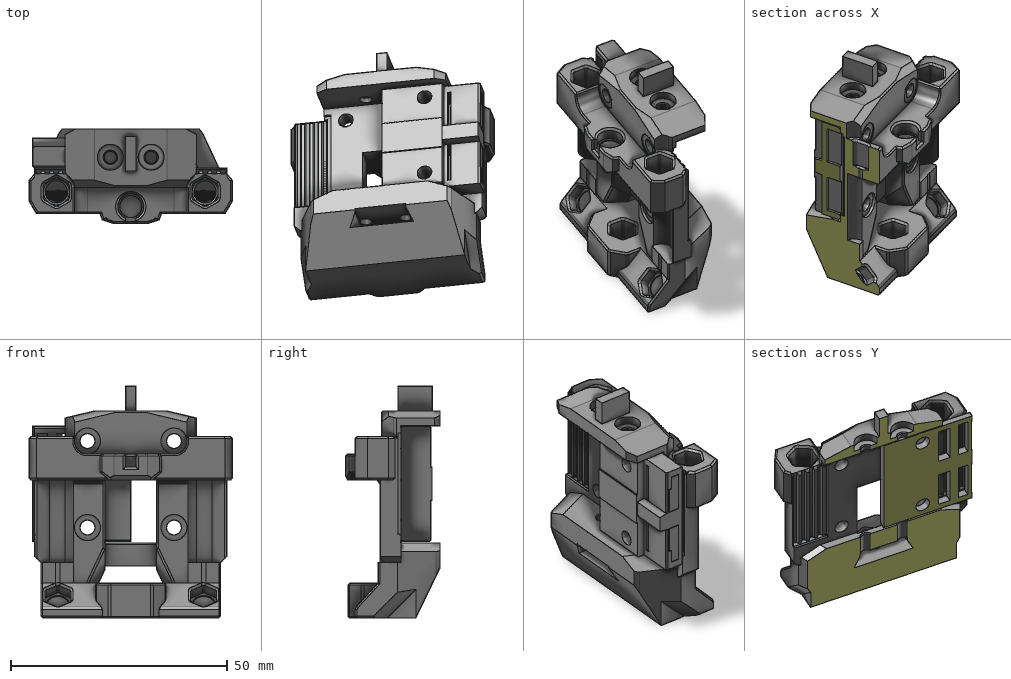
import cadquery as cq
import math

BIG = 200.0

SCREW_PITCH = 20.0
SCREW_LOW_Z = 20.95
SCREW_HOLE = 3.4
SCREW_HEAD = 6.0
SCREW_SEAT_Y = -4.2

BAR_BOTTOM, BAR_TOP = 31.9, 42.0
BAR_FRONT = -10.55
BAR_HALF = 46.97 / 2
BAR_EDGE = 0.45
BAR_REAR = -1.3
NOSE_FRONT = -12.82
NOSE_HALF = 7.1
NOSE_CHIN_Z, NOSE_CHEEK_Z = 33.0, 33.8
TROUGH_RADIUS = SCREW_HEAD / 2 + 0.05
TROUGH_HALF = SCREW_PITCH / 2 + TROUGH_RADIUS
TROUGH_FLOOR = SCREW_LOW_Z + SCREW_PITCH - TROUGH_RADIUS
TROUGH_EDGE = 0.35

NUT_FLATS = 6.0
NUT_EDGE = 0.5
NUT_CORNER = 0.7
ROD_HOLE = 5.1
ROD_EDGE = 0.45
ROD_X, ROD_Y = 17.2, -5.5
BAR_NUT_DEPTH = 7.0
FOOT_NUT_X, FOOT_NUT_Z = 16.85, 5.4
FOOT_NUT_DEPTH = 3.0
BOSS_NUT_DEPTH = 6.0
SEAT_STEP = 0.3

MAGNET_Y = -8.9
MAGNET_DIAMETER = 6.0
MAGNET_FLOOR = 34.9
MAGNET_EDGE = 0.5
MAGNET_SLOT = 2.5

PLATE_FRONT = -4.47
PLATE_FRONT_HALF = 12.95
ROOF_Z = 47.9
ROOF_UNDERSIDE = 44.45
ROOF_HALF = 15.2
ROOF_FLAT_HALF = 8.4
ROOF_SLOPE = 0.24
ROOF_EDGE = 0.4
ROOF_BEVEL_Y = -2.8
REAR_Y = 9.08
TAB_TOP = 53.62
TAB_WIDTH = 2.4
TAB_FRONT, TAB_REAR = -0.7, 7.28
ROOF_SCREW_X, ROOF_SCREW_Y = 4.72, 2.5
ROOF_SCREW_HEAD_DEPTH = 2.0
TAPPED_HOLE, TAPPED_EDGE = 2.8, 0.25

COLUMN_FRONT = -4.86
COLUMN_HALF = 13.2
GUSSET_HEIGHT, GUSSET_REACH = 0.9, 0.6
WING_HALF = 22.2
WING_FRONT = -4.7
WING_BOTTOM = 12.9
WING_CORNER = 1.4
SIDE_FLOOR_Y = -1.65
WINDOW_HALF = 6.0
WINDOW_EDGE = 0.4
FLARE_TOP = 16.3
FOOT_HALF = 20.75
FOOT_CORE_HALF = 18.75
FOOT_FRONT = -5.25
FOOT_TOE = -10.55
TOE_Z = 2.4
HEEL_BEVEL_Y = -6.75
TOE_EDGE = 0.35
FOOT_EDGE = 0.4
FOOT_SOLE_EDGE = 0.5
BOSS_TOP = 8.1
BOSS_FRONT = -12.2
BOSS_EDGE = 0.4
LEDGE_Z = 17.4
LEDGE_UNDERSIDE = 12.0
FOOT_GROOVE_WIDTH, FOOT_GROOVE_DEPTH = 1.1, 0.1

BELT_BOTTOM, BELT_TOP = 19.4, 42.8
BELT_INNER_X = 13.5
BELT_THICKNESS = 0.7
TOOTH_DEPTH = 0.65
BELT_LEAD = 0.3
TOOTH_ROOT, TOOTH_TIP = 1.35, 0.75
BELT_PITCH = 2.04
TOOTH_FIRST_X = 15.2
TOOTH_COUNT = 4

CARRIAGE_BOTTOM, CARRIAGE_TOP = 17.75, 44.4
CARRIAGE_MID_Z = (CARRIAGE_BOTTOM + CARRIAGE_TOP) / 2
CARRIAGE_LENGTH = 22.7
CARRIAGE_REAR = 6.92
BLOCK_EDGE = 0.3
CAP_INNER_X = -14.2
CAP_REAR = 5.0
CAP_REAR_EDGE, CAP_FRONT_EDGE = 0.4, 0.5
TONGUE_ROOT, TONGUE_CREST = 4.9, 3.7
RETAINER_HEIGHT, RETAINER_REAR = 7.7, 7.25
BALL_POCKET_HEIGHT = 9.35
BALL_POCKET_OFFSET = 6.95
BALL_POCKET_DEPTH = 3.45
OUTER_BALL_POCKET = (-21.6, -19.3)
INNER_BALL_POCKET_X = -17.0
CAP_SLIT_X, CAP_SLIT_END = -15.85, -15.0
PANEL_FRONT, PANEL_REAR, PANEL_DEPTH = 1.44, 3.45, 0.1
PANEL_TAB_REAR, PANEL_TAB_HEIGHT = 4.15, 6.2


def box(x0, x1, y0, y1, z0, z1):
    return cq.Workplane("XY").box(x1 - x0, y1 - y0, z1 - z0, centered=False).translate((x0, y0, z0))


def prism(points, z0, z1):
    return cq.Workplane("XY").workplane(offset=z0).polyline(points).close().extrude(z1 - z0)


def mirrored(points):
    """Close a right-hand outline (read from rear to front) with its mirror image."""
    return points + [(-x, y) for x, y in reversed(points)]


def half_space(point, normal):
    """A large block that fills the side of a plane the normal points to."""
    return cq.Workplane(cq.Plane(origin=point, normal=normal)).rect(BIG, BIG).extrude(BIG)


def both_sides(shape):
    return shape.union(shape.mirror("YZ"))


def nut_pocket(center, axis, point_dir, depth, edge):
    """Round-cornered hexagonal pocket sunk against the axis, one corner along point_dir, mouth bevelled."""
    plane = cq.Plane(origin=center, xDir=point_dir, normal=axis)

    def hexagon(grow):
        corner_reach = (NUT_FLATS / 2 + grow) / math.cos(math.pi / 6)
        outline = cq.Workplane(plane).sketch().regularPolygon(corner_reach, 6, angle=90)
        return outline.vertices().fillet(NUT_CORNER + grow).finalize()

    return hexagon(0).extrude(-depth).union(hexagon(edge).extrude(-edge, taper=45))


def cylinder(center, axis, diameter, length):
    return cq.Workplane(cq.Plane(origin=center, normal=axis)).circle(diameter / 2).extrude(length)


def tapped_hole(x, y, top, bottom):
    hole = cylinder((x, y, bottom), (0, 0, 1), TAPPED_HOLE, top - bottom)
    mouth = cq.Workplane("XY", origin=(x, y, top)).circle(TAPPED_HOLE / 2 + TAPPED_EDGE)
    return hole.union(mouth.extrude(-TAPPED_EDGE, taper=45))


def screw_positions():
    return [(side * SCREW_PITCH / 2, SCREW_LOW_Z + row * SCREW_PITCH) for side in (-1, 1) for row in (0, 1)]


def make_crossbar():
    outline = mirrored([(WING_HALF, BAR_REAR), (BAR_HALF, -2.82), (BAR_HALF, -7.65), (21.8, BAR_FRONT)])
    bar = prism(outline, BAR_BOTTOM, BAR_TOP).faces("|Z").edges().chamfer(BAR_EDGE)
    backing = box(-WING_HALF, WING_HALF, BAR_REAR - 1, 0, BAR_BOTTOM, BAR_TOP)
    bar = bar.union(backing.cut(half_space((0, BAR_REAR, BAR_TOP), (0, 1, 1))))
    nose_outline = mirrored(
        [(NOSE_HALF, MAGNET_Y), (NOSE_HALF, BAR_FRONT), (6.6, -11.96), (3.9, NOSE_FRONT)])
    nose = prism(nose_outline, BAR_BOTTOM, TROUGH_FLOOR)
    rim = cq.selectors.BoxSelector((-BIG, -BIG, 0), (BIG, BAR_FRONT, BIG))
    nose = nose.faces(">Z").edges(rim).chamfer(BAR_EDGE)
    chin = half_space((0, NOSE_FRONT, NOSE_CHIN_Z), (0, -2, -1))
    cheek = half_space((NOSE_HALF, BAR_FRONT, NOSE_CHEEK_Z), (1, -0.4, -1.125))
    return bar.cut(make_trough()).union(nose.cut(chin).cut(both_sides(cheek)))


def make_trough():
    """Round-bottomed channel across the top of the crossbar, concentric with the upper screws."""
    height = BAR_TOP + 10 - TROUGH_FLOOR
    depth = PLATE_FRONT - BAR_FRONT

    def channel(grow):
        middle = cq.Workplane("XZ", origin=(0, BAR_FRONT, TROUGH_FLOOR + height / 2))
        return middle.sketch().rect(2 * (TROUGH_HALF + grow), height + 2 * grow).vertices().fillet(
            TROUGH_RADIUS + grow).finalize()

    top_bevel = (
        cq.Workplane("XZ", origin=(0, BAR_FRONT, 0))
        .polyline([(TROUGH_HALF - 1, BAR_TOP - TROUGH_EDGE), (TROUGH_HALF, BAR_TOP - TROUGH_EDGE),
                   (TROUGH_HALF + TROUGH_EDGE, BAR_TOP), (TROUGH_HALF - 1, BAR_TOP)])
        .close().extrude(-depth)
    )
    trough = channel(0).extrude(-depth).union(channel(TROUGH_EDGE).extrude(-TROUGH_EDGE, taper=45))
    return trough.union(both_sides(top_bevel))


def make_top_plate():
    """Upright plate with the overhanging roof; hollow flanks clear the rods."""
    half = (
        cq.Workplane("XY").workplane(offset=BAR_BOTTOM)
        .moveTo(0, REAR_Y).lineTo(12.7, REAR_Y).lineTo(ROOF_HALF, 7.76).lineTo(ROOF_HALF, -0.96)
        .lineTo(14.7, SIDE_FLOOR_Y).threePointArc((13.6, -2.8), (PLATE_FRONT_HALF, PLATE_FRONT))
        .lineTo(0, PLATE_FRONT).close().extrude(ROOF_Z - BAR_BOTTOM)
    )
    half = half.cut(box(-1, BIG, 0, BIG, 0, ROOF_UNDERSIDE))
    half = half.cut(half_space((ROOF_FLAT_HALF, 0, ROOF_Z), (ROOF_SLOPE, 0, 1)))
    half = half.cut(half_space((ROOF_FLAT_HALF, ROOF_BEVEL_Y, ROOF_Z), (ROOF_SLOPE, -0.894, 1)))
    half = half.cut(half_space((0, PLATE_FRONT, ROOF_Z - ROOF_EDGE), (0, -1, 1)))
    tab = box(-TAB_WIDTH / 2, TAB_WIDTH / 2, TAB_FRONT, TAB_REAR, ROOF_UNDERSIDE, TAB_TOP)
    return both_sides(half).union(tab)


def make_columns():
    """Two front columns with their outer wings, from the foot up to the crossbar."""
    half = (
        cq.Workplane("XY").workplane(offset=WING_BOTTOM)
        .moveTo(WINDOW_HALF, 0).lineTo(WING_HALF, 0).lineTo(WING_HALF, WING_FRONT).lineTo(21.7, WING_FRONT)
        .lineTo(18.8, SIDE_FLOOR_Y).lineTo(ROOF_HALF, SIDE_FLOOR_Y)
        .threePointArc((13.85, -2.8), (COLUMN_HALF, COLUMN_FRONT))
        .lineTo(WINDOW_HALF + WINDOW_EDGE, COLUMN_FRONT)
        .lineTo(WINDOW_HALF, COLUMN_FRONT + WINDOW_EDGE).close().extrude(BAR_BOTTOM + 1 - WING_BOTTOM)
    )
    half = half.cut(half_space((WING_HALF, 0, WING_BOTTOM + WING_CORNER), (1, 0, -1)))
    gusset = (
        cq.Workplane("YZ").workplane(offset=WINDOW_HALF + WINDOW_EDGE)
        .polyline([(COLUMN_FRONT, BAR_BOTTOM - GUSSET_HEIGHT), (COLUMN_FRONT - GUSSET_REACH, BAR_BOTTOM),
                   (COLUMN_FRONT, BAR_BOTTOM)])
        .close().extrude(COLUMN_HALF - WINDOW_HALF - WINDOW_EDGE)
    )
    return both_sides(half.union(gusset))


def make_foot():
    """Lower block: sloped toes in front, carriage ledge behind, tapering towards the rear."""
    profile = [
        (FOOT_FRONT, WING_BOTTOM), (FOOT_FRONT, BOSS_TOP), (FOOT_TOE + TOE_EDGE, TOE_Z + TOE_EDGE),
        (FOOT_TOE, TOE_Z - TOE_EDGE), (FOOT_TOE, 0),
        (3.45, 0), (REAR_Y, 11.7), (REAR_Y, LEDGE_Z), (0, LEDGE_Z), (0, WING_BOTTOM),
    ]
    foot = cq.Workplane("YZ").workplane(offset=-FOOT_HALF).polyline(profile).close().extrude(2 * FOOT_HALF)
    front_edges = cq.selectors.BoxSelector((-BIG, FOOT_TOE - 1, -1), (BIG, FOOT_FRONT + 0.1, WING_BOTTOM))
    foot = foot.faces("|X").edges(front_edges).chamfer(FOOT_EDGE)
    foot = foot.cut(half_space((0, FOOT_TOE, FOOT_SOLE_EDGE), (0, -1, -1)))
    foot = foot.cut(both_sides(half_space((FOOT_HALF, 0, FOOT_SOLE_EDGE), (1, 0, -1))))
    foot = foot.cut(box(-COLUMN_HALF, COLUMN_HALF, FOOT_FRONT, COLUMN_FRONT, BOSS_TOP, WING_BOTTOM))
    plan = mirrored([(15.8, REAR_Y), (16.6, 8.1), (FOOT_HALF, -0.75), (FOOT_HALF, FOOT_TOE)])
    foot = foot.intersect(prism(plan, 0, LEDGE_Z))
    ledge_slope = half_space((15.3, 0.5, LEDGE_Z), (16.2, 7.5, 39.0)).intersect(box(0, BIG, 0, BIG, 0, BIG))
    return foot.cut(both_sides(ledge_slope)).cut(make_heel_bevel())


def make_heel_bevel():
    """Bevel behind each toe, running along the toe's 45 degree slope."""
    plane = cq.Plane(origin=(0, HEEL_BEVEL_Y, 0), xDir=(1, 0, 0), normal=(0, 1, 1))
    bevel_reach = 2.55
    wedge = (
        cq.Workplane(plane)
        .polyline([(FOOT_HALF + 1, 0), (FOOT_HALF, 0), (FOOT_CORE_HALF, bevel_reach),
                   (FOOT_CORE_HALF, BIG), (FOOT_HALF + 1, BIG)])
        .close().extrude(BIG, both=True)
    )
    wedge = wedge.intersect(box(0, BIG, -20, 20, -1, WING_BOTTOM - 1))
    return both_sides(wedge)


def make_boss():
    """Chamfered block at the middle of the foot, holding the centre nut."""
    outline = mirrored([(8.15, 0), (8.15, -8.55), (7.9, -9.2), (5.3, -11.85), (4.6, BOSS_FRONT)])
    boss = prism(outline, 0, BOSS_TOP)
    rim = cq.selectors.BoxSelector((-BIG, -BIG, -1), (BIG, -1, BIG))
    return boss.faces("|Z").edges(rim).chamfer(BOSS_EDGE)


def make_window():
    """Opening between the columns and below the ledge, flared towards the boss."""
    upper = box(-WINDOW_HALF, WINDOW_HALF, -20, 0, BOSS_TOP, BAR_BOTTOM)
    lower = box(-WINDOW_HALF, WINDOW_HALF, -20, 20, BOSS_TOP, LEDGE_UNDERSIDE)
    flare = half_space((WINDOW_HALF, COLUMN_FRONT, FLARE_TOP), (-1, -0.5, -0.475))
    flare_edge = (WINDOW_HALF + WINDOW_EDGE, COLUMN_FRONT, FLARE_TOP)
    flare = flare.union(half_space(flare_edge, (-0.82, -1.41, -0.39)))
    flare = flare.intersect(box(0, 12, -20, 0, BOSS_TOP, FLARE_TOP))
    rear_flare = half_space((WINDOW_HALF, 0, 11.2), (-1, 0, -0.475))
    rear_flare = rear_flare.intersect(box(0, 12, 0, 20, BOSS_TOP, LEDGE_UNDERSIDE))
    ledge_edge = half_space((0, 0, LEDGE_Z - WINDOW_EDGE), (0, -1, 1))
    ledge_edge = ledge_edge.intersect(
        box(-WINDOW_HALF, WINDOW_HALF, 0, WINDOW_EDGE, LEDGE_Z - WINDOW_EDGE, LEDGE_Z))
    return upper.union(lower).union(ledge_edge).union(both_sides(flare.union(rear_flare)))


def make_belt_pocket():
    """Toothed belt recess in the rear face of a wing, open at its outer side."""
    pocket = box(BELT_INNER_X, BIG, -BELT_THICKNESS, 1, BELT_BOTTOM, BELT_TOP)
    for index in range(TOOTH_COUNT):
        x = TOOTH_FIRST_X + index * BELT_PITCH
        tip_y = -BELT_THICKNESS - TOOTH_DEPTH
        groove = prism(
            [(x - TOOTH_ROOT / 2, -BELT_THICKNESS), (x + TOOTH_ROOT / 2, -BELT_THICKNESS),
             (x + TOOTH_TIP / 2, tip_y), (x - TOOTH_TIP / 2, tip_y)], BELT_BOTTOM, BAR_TOP)
        pocket = pocket.union(groove)
    floor_bevel = half_space((0, 0, BELT_BOTTOM - BELT_LEAD), (0, 1, 1))
    floor_bevel = floor_bevel.intersect(
        box(BELT_INNER_X, BIG, -BELT_LEAD, 1, BELT_BOTTOM - BELT_LEAD, BELT_BOTTOM))
    return both_sides(pocket.union(floor_bevel))


def make_magnet_pocket():
    top = (0, MAGNET_Y, TROUGH_FLOOR)
    depth = TROUGH_FLOOR - MAGNET_FLOOR
    pocket = cylinder(top, (0, 0, -1), MAGNET_DIAMETER, depth)
    mouth = cq.Workplane("XY", origin=top).circle(MAGNET_DIAMETER / 2 + MAGNET_EDGE)
    mouth = mouth.extrude(-MAGNET_EDGE, taper=45)
    step = cylinder(top, (0, 0, -1), ROD_HOLE, depth + SEAT_STEP)
    slot = box(-MAGNET_SLOT / 2, MAGNET_SLOT / 2, -20, MAGNET_Y, MAGNET_FLOOR, TROUGH_FLOOR)
    slot_mouth = (
        cq.Workplane("XZ", origin=(0, NOSE_FRONT, MAGNET_FLOOR + 5))
        .rect(MAGNET_SLOT + 2 * MAGNET_EDGE, 10 + 2 * MAGNET_EDGE).extrude(-MAGNET_EDGE, taper=45)
    )
    return pocket.union(mouth).union(step).union(slot).union(slot_mouth)


def make_nut_pockets():
    up = (0, 0, 1)
    cuts = nut_pocket((0, ROD_Y, BOSS_TOP), up, (0, 1, 0), BOSS_NUT_DEPTH, NUT_EDGE)
    slope_y, slope_z = FOOT_FRONT - FOOT_TOE, BOSS_TOP - TOE_Z
    foot_nut_y = FOOT_TOE + (FOOT_NUT_Z - TOE_Z) * slope_y / slope_z
    inward = cq.Vector(0, slope_z, -slope_y).normalized()
    for side in (-1, 1):
        rod_top = (side * ROD_X, ROD_Y, BAR_TOP)
        cuts = cuts.union(nut_pocket(rod_top, up, (0, 1, 0), BAR_NUT_DEPTH, NUT_EDGE))
        rod_seat = (side * ROD_X, ROD_Y, BAR_TOP - BAR_NUT_DEPTH)
        rod_mouth = cq.Workplane("XY", origin=rod_seat).circle(ROD_HOLE / 2 + ROD_EDGE)
        cuts = cuts.union(rod_mouth.extrude(-ROD_EDGE, taper=45))
        cuts = cuts.union(cylinder((side * ROD_X, ROD_Y, BAR_BOTTOM), up, ROD_HOLE, BAR_TOP - BAR_BOTTOM))
        mouth = cq.Vector(side * FOOT_NUT_X, foot_nut_y, FOOT_NUT_Z)
        cuts = cuts.union(nut_pocket(mouth, inward * -1, (0, slope_y, slope_z), FOOT_NUT_DEPTH, NUT_EDGE))
        cuts = cuts.union(cylinder(mouth, inward, ROD_HOLE, FOOT_NUT_DEPTH + SEAT_STEP))
        groove_x = side * FOOT_NUT_X
        cuts = cuts.union(box(
            groove_x - FOOT_GROOVE_WIDTH / 2, groove_x + FOOT_GROOVE_WIDTH / 2,
            FOOT_FRONT, FOOT_FRONT + FOOT_GROOVE_DEPTH, BOSS_TOP - 1, WING_BOTTOM))
    return cuts


def make_bracket():
    bracket = make_columns().union(make_foot())
    bracket = bracket.cut(make_window()).union(make_boss())
    bracket = bracket.union(make_crossbar()).union(make_top_plate())
    bracket = bracket.cut(make_nut_pockets()).cut(make_belt_pocket()).cut(make_magnet_pocket())
    for x, z in screw_positions():
        seat = (x, SCREW_SEAT_Y, z)
        bracket = bracket.cut(cylinder(seat, (0, 1, 0), SCREW_HOLE, -SCREW_SEAT_Y))
        bracket = bracket.cut(cylinder(seat, (0, -1, 0), SCREW_HEAD, SCREW_SEAT_Y - COLUMN_FRONT))
    for side in (-1, 1):
        x = side * ROOF_SCREW_X
        roof_seat = ROOF_Z - ROOF_SCREW_HEAD_DEPTH
        bracket = bracket.cut(
            cylinder((x, ROOF_SCREW_Y, roof_seat), (0, 0, 1), SCREW_HEAD, ROOF_SCREW_HEAD_DEPTH))
        bracket = bracket.cut(tapped_hole(x, ROOF_SCREW_Y, roof_seat, ROOF_UNDERSIDE))
        bracket = bracket.cut(tapped_hole(x, ROOF_SCREW_Y, LEDGE_Z, LEDGE_UNDERSIDE))
    return bracket


def make_carriage():
    block = box(CAP_INNER_X, 0, 0, CARRIAGE_REAR, CARRIAGE_BOTTOM, CARRIAGE_TOP)
    block = block.edges("|X").chamfer(BLOCK_EDGE)
    retainer = box(
        CAP_INNER_X, 0, CARRIAGE_REAR - 1, RETAINER_REAR,
        CARRIAGE_MID_Z - RETAINER_HEIGHT / 2, CARRIAGE_MID_Z + RETAINER_HEIGHT / 2)
    carriage = block.union(retainer).union(make_end_cap())
    for x, z in screw_positions():
        carriage = carriage.cut(cylinder((x, 0, z), (0, 1, 0), SCREW_HOLE, BIG))
    return carriage


def make_end_cap():
    cap = box(-CARRIAGE_LENGTH, CAP_INNER_X, 0, CAP_REAR, CARRIAGE_BOTTOM, CARRIAGE_TOP)
    cap = cap.edges(">Y and <X").chamfer(CAP_REAR_EDGE)
    cap = cap.faces("<Y").edges("not >X").chamfer(CAP_FRONT_EDGE)
    tongue_base = CAP_REAR - 1.3
    tongue = (
        cq.Workplane("YZ", origin=(-CARRIAGE_LENGTH, 0, CARRIAGE_MID_Z))
        .polyline([(tongue_base, -TONGUE_ROOT / 2), (CARRIAGE_REAR, -TONGUE_CREST / 2),
                   (CARRIAGE_REAR, TONGUE_CREST / 2), (tongue_base, TONGUE_ROOT / 2)])
        .close().extrude(CARRIAGE_LENGTH + CAP_INNER_X)
    )
    cap = cap.union(tongue)
    for side in (-1, 1):
        middle = CARRIAGE_MID_Z + side * BALL_POCKET_OFFSET
        z0, z1 = middle - BALL_POCKET_HEIGHT / 2, middle + BALL_POCKET_HEIGHT / 2
        cap = cap.cut(box(*OUTER_BALL_POCKET, 0, BALL_POCKET_DEPTH, z0, z1))
        cap = cap.cut(box(INNER_BALL_POCKET_X, CAP_INNER_X, 0, BALL_POCKET_DEPTH, z0, z1))
        cap = cap.cut(box(CAP_SLIT_X, CAP_SLIT_END, 0, BIG, z0, z1))
        panel_end = -CARRIAGE_LENGTH + PANEL_DEPTH
        cap = cap.cut(box(-CARRIAGE_LENGTH, panel_end, PANEL_FRONT, PANEL_REAR, z0, z1))
        tab_middle = middle - side * (BALL_POCKET_HEIGHT - PANEL_TAB_HEIGHT) / 2
        cap = cap.cut(box(
            -CARRIAGE_LENGTH, panel_end, PANEL_REAR, PANEL_TAB_REAR,
            tab_middle - PANEL_TAB_HEIGHT / 2, tab_middle + PANEL_TAB_HEIGHT / 2))
    return cap


bracket = make_bracket()
carriage = make_carriage()
result = cq.Compound.makeCompound([*bracket.vals(), *carriage.vals()])